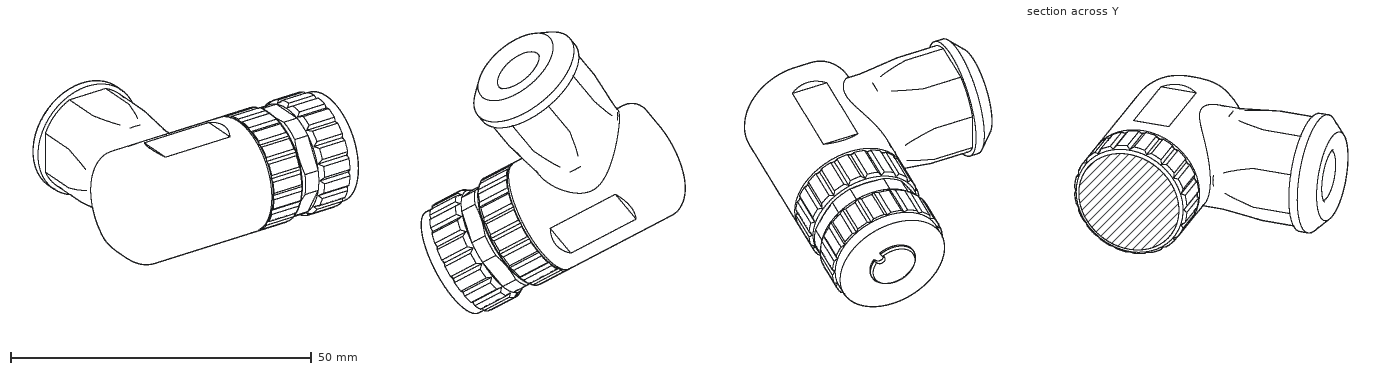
import cadquery as cq
import math


barrel_radius = 10.0
barrel_bottom_y = -10.2
barrel_top_y = 13.6

end_flat_radius = 6.15
end_round_radius = 4.0
end_edge_fillet = 2.0

flat_half_width = 3.13
flat_height = math.sqrt(barrel_radius**2 - flat_half_width**2)
flat_start_y = -3.15
flat_end_y = 9.85
flat_ramp_length = 0.9

seam_radius = 9.75
lower_grip_start_y = 14.05
lower_grip_end_y = 20.1
lower_grip_chamfer = 0.5
neck_radius = 8.1
nut_start_y = 20.45
nut_chamfer_height = 0.3
nut_chamfer_depth = 0.6
nut_across_flats = 18.0
upper_grip_start_y = 23.4
upper_grip_full_y = 24.25
upper_grip_end_y = 29.35
collar_radius = 9.5
collar_top_y = 31.4

groove_count = 20
groove_half_width = 0.63
groove_depth = 0.4

insert_radius = 4.1
insert_top_y = 32.1
insert_chamfer_width = 0.3
insert_chamfer_height = 0.4
key_notch_width = 1.5
key_notch_round_center = 3.35
key_notch_angle = 45.0

branch_radius = 8.5
branch_flat_half_width = 3.64
branch_large_radius = math.hypot(branch_radius, branch_flat_half_width)
branch_cylinder_end_x = -10.5
branch_taper_end_x = -17.6
flange_radius = 10.0
flange_inner_x = -24.5
flange_cone_x = -26.0
branch_face_x = -28.5
branch_face_radius = 7.5
cable_radius = 4.25
cable_edge_round = 1.0


def turned_about_y(points):
    """Solid of revolution about Y from (radius, y) points."""
    return cq.Workplane("XY").polyline(points).close().revolve(360, (0, 0), (0, 1))


def cylinder_along_y(radius, start_y, end_y):
    plane = cq.Workplane("XZ", origin=(0, start_y, 0))
    return plane.circle(radius).extrude(start_y - end_y)


def end_profile():
    """Half section of the rounded barrel end, from the axis outwards."""
    arc_center_y = barrel_bottom_y + end_round_radius
    arc_angle = math.asin((barrel_radius - end_flat_radius) / end_round_radius)

    def arc_point(angle):
        x = end_flat_radius + end_round_radius * math.sin(angle)
        return (x, arc_center_y - end_round_radius * math.cos(angle))

    return (
        cq.Workplane("XY")
        .moveTo(0, barrel_bottom_y)
        .lineTo(end_flat_radius, barrel_bottom_y)
        .threePointArc(arc_point(arc_angle / 2), arc_point(arc_angle))
        .lineTo(barrel_radius, barrel_top_y)
        .lineTo(0, barrel_top_y)
        .close()
    )


def barrel():
    """Barrel with a revolved rounding that runs straight out on the branch side."""
    revolved = end_profile().revolve(360, (0, 0), (0, 1))
    upper_half = end_profile().extrude(barrel_radius)
    upper_half = upper_half.rotate((0, 0, 0), (0, 1, 0), -90)
    straight = upper_half.union(upper_half.mirror("XY"))
    branch_side = cylinder_along_y(barrel_radius, barrel_bottom_y, barrel_top_y)
    rounded = revolved.union(straight.intersect(branch_side))
    return rounded.edges("<X").fillet(end_edge_fillet)


def barrel_flat_cutter():
    """Cutter for the upper flat, with a ramp at each end."""
    return (
        cq.Workplane("YZ")
        .moveTo(flat_start_y, flat_height)
        .lineTo(flat_end_y, flat_height)
        .lineTo(flat_end_y + flat_ramp_length, barrel_radius)
        .lineTo(flat_start_y - flat_ramp_length, barrel_radius)
        .close()
        .extrude(barrel_radius, both=True)
    )


def grip_grooves(start_y, end_y):
    """Ring of V-groove cutters around the Y axis."""
    tip = barrel_radius - groove_depth
    outer = barrel_radius + groove_depth
    outer_half_width = 2 * groove_half_width
    groove = (
        cq.Workplane("XZ", origin=(0, start_y, 0))
        .moveTo(0, tip)
        .lineTo(outer_half_width, outer)
        .lineTo(-outer_half_width, outer)
        .close()
        .extrude(start_y - end_y)
    )
    cutters = cq.Workplane("XY")
    for index in range(groove_count):
        angle = index * 360 / groove_count
        cutters = cutters.add(groove.rotate((0, 0, 0), (0, 1, 0), angle))
    return cutters.combine()


def lower_grip():
    ring = turned_about_y([
        (0, barrel_top_y),
        (barrel_radius, barrel_top_y),
        (seam_radius, lower_grip_start_y),
        (barrel_radius, lower_grip_start_y),
        (barrel_radius, lower_grip_end_y - lower_grip_chamfer),
        (barrel_radius - lower_grip_chamfer, lower_grip_end_y),
        (0, lower_grip_end_y),
    ])
    return ring.cut(grip_grooves(lower_grip_start_y, lower_grip_end_y))


def union_nut():
    """Hexagon with turned corners and a chamfered lower edge."""
    turned = turned_about_y([
        (0, nut_start_y),
        (collar_radius - nut_chamfer_depth, nut_start_y),
        (collar_radius, nut_start_y + nut_chamfer_height),
        (collar_radius, upper_grip_start_y),
        (0, upper_grip_start_y),
    ])
    across_corners = nut_across_flats / math.cos(math.radians(30))
    hexagon = (
        cq.Workplane("XZ", origin=(0, nut_start_y, 0))
        .polygon(6, across_corners)
        .extrude(nut_start_y - upper_grip_start_y)
    )
    return turned.intersect(hexagon)


def upper_grip():
    ring = turned_about_y([
        (0, upper_grip_start_y),
        (collar_radius, upper_grip_start_y),
        (barrel_radius, upper_grip_full_y),
        (barrel_radius, upper_grip_end_y),
        (collar_radius, upper_grip_end_y),
        (collar_radius, collar_top_y),
        (0, collar_top_y),
    ])
    return ring.cut(grip_grooves(upper_grip_start_y, upper_grip_end_y))


def contact_insert():
    """Chamfered insert face with a round-bottomed key notch in its rim."""
    insert = turned_about_y([
        (0, collar_top_y),
        (insert_radius, collar_top_y),
        (insert_radius, insert_top_y - insert_chamfer_height),
        (insert_radius - insert_chamfer_width, insert_top_y),
        (0, insert_top_y),
    ])
    notch_length = 2 * (insert_radius - key_notch_round_center) + key_notch_width
    notch = (
        cq.Workplane("XZ", origin=(0, collar_top_y, 0))
        .center(0, insert_radius)
        .slot2D(notch_length, key_notch_width, 90)
        .extrude(collar_top_y - insert_top_y)
    )
    return insert.cut(notch.rotate((0, 0, 0), (0, 1, 0), key_notch_angle))


def branch_sleeve():
    """Tapered sleeve with four flats level with its slimmer end."""
    sleeve = (
        cq.Workplane("XY")
        .polyline([
            (0, 0),
            (0, branch_radius),
            (branch_cylinder_end_x, branch_radius),
            (branch_taper_end_x, branch_large_radius),
            (flange_inner_x, branch_large_radius),
            (flange_inner_x, 0),
        ])
        .close()
        .revolve(360, (0, 0), (1, 0))
    )
    square = cq.Workplane("YZ").rect(2 * branch_radius, 2 * branch_radius)
    return sleeve.intersect(square.extrude(flange_inner_x))


def branch_flange():
    """Conical end flange with a round-edged recess around the cable entry."""
    edge_middle = cable_edge_round * math.sqrt(0.5)
    recess_floor_x = branch_face_x + cable_edge_round
    outer_recess_radius = cable_radius + cable_edge_round
    return (
        cq.Workplane("XY")
        .moveTo(flange_inner_x, 0)
        .lineTo(flange_inner_x, flange_radius)
        .lineTo(flange_cone_x, flange_radius)
        .lineTo(branch_face_x, branch_face_radius)
        .lineTo(branch_face_x, outer_recess_radius)
        .threePointArc(
            (recess_floor_x - edge_middle, outer_recess_radius - edge_middle),
            (recess_floor_x, cable_radius),
        )
        .lineTo(recess_floor_x, 0)
        .close()
        .revolve(360, (0, 0), (1, 0))
    )


flat_cutter = barrel_flat_cutter()
body = barrel().cut(flat_cutter).cut(flat_cutter.mirror("XY"))
body = body.union(branch_sleeve()).union(branch_flange())
neck = cylinder_along_y(neck_radius, lower_grip_end_y, nut_start_y)

result = body
for section in (lower_grip(), neck, union_nut(), upper_grip(), contact_insert()):
    result = result.union(section)